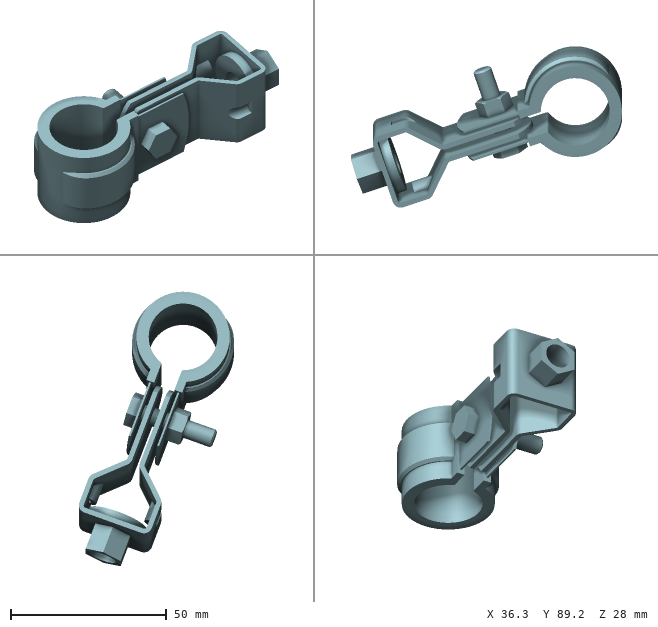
import cadquery as cq
import math


lining_height = 28.0
ring_radius = 15.0
bore_radius = 11.05
tab_inner_x = 3.5
tab_outer_x = 6.15
tab_top_y = 17.5
mouth_fillet = 0.6

pad_height = 15.0
pad_radius = 16.4
pad_chamfer = 1.0
pad_bend_angle = -30.6
pad_end_angle = -64.7

sheet_width = 25.0

strap_thickness = 0.6
strap_ear_x = 4.55
strap_end_radius = 38.4
strap_loop_radius = (ring_radius + bore_radius - strap_thickness) / 2

bracket_thickness = 1.6
bracket_half_width = 12.4
leg_outer_x = 2.9
bracket_top_y = 65.3
upper_bend_y = 53.1
lower_bend_y = 43.95
leg_tip_y = 15.25
leg_corner_y = 19.9
bend_radius = 2.7
inner_bend_radius = bend_radius - bracket_thickness
head_inner_radius = 0.8

groove_radius = 2.5
groove_bulge_radius = 4.2
groove_top_y = 58.3

hanger_flats = 11.95
hanger_top_y = 74.2
hanger_neck_diameter = 15.0
flange_diameter = 20.0
flange_thickness = 3.0
hanger_bore_diameter = 8.5

bolt_y = 25.0
bolt_diameter = 6.0
bolt_tip_diameter = 4.9
bolt_tip_x = -19.9
bolt_hex_flats = 10.0
bolt_head_height = 4.0
nut_height = 4.9
nut_chamfer_diameter = 10.5
nut_chamfer_angle = 30.0


def block(x_min, x_max, y_min, y_max, height):
    """Box given by its X and Y limits, centred on Z = 0."""
    center = ((x_min + x_max) / 2, (y_min + y_max) / 2)
    outline = cq.Workplane("XY").center(*center).rect(x_max - x_min, y_max - y_min)
    return outline.extrude(height / 2, both=True)


def polar(radius, angle):
    """Point at a radius and an angle in degrees from +X."""
    return (radius * math.cos(math.radians(angle)), radius * math.sin(math.radians(angle)))


def mirrored_pair(shape):
    """A +X feature joined with its mirror image on -X."""
    return shape.union(shape.mirror("YZ"))


def cylinder_along_x(diameter, x_min, x_max):
    """Round bar on the bolt axis."""
    plane = cq.Workplane("YZ", origin=(x_min, bolt_y, 0))
    return plane.circle(diameter / 2).extrude(x_max - x_min)


def hexagon_circle(flats):
    """Diameter through the corners of a hexagon."""
    return flats / math.cos(math.pi / 6)


def hexagon_along_x(x_min, x_max):
    """Hexagon bar on the bolt axis, with corners towards +Y and -Y."""
    plane = cq.Workplane("YZ", origin=(x_min, bolt_y, 0))
    return plane.polygon(6, hexagon_circle(bolt_hex_flats)).extrude(x_max - x_min)


def make_pad():
    """Raised pad on the +X side, with chamfered upper and lower rims."""
    start = (tab_outer_x, math.sqrt(pad_radius**2 - tab_outer_x**2))
    bend = polar(pad_radius, pad_bend_angle)
    end = polar(ring_radius, pad_end_angle)
    end_along_bend = ring_radius * math.cos(math.radians(pad_end_angle - pad_bend_angle))
    center_distance = (pad_radius**2 - ring_radius**2) / (2 * (pad_radius - end_along_bend))
    center = polar(center_distance, pad_bend_angle)
    return_radius = pad_radius - center_distance
    end_direction = math.degrees(math.atan2(end[1] - center[1], end[0] - center[0]))
    middle = polar(return_radius, (pad_bend_angle + end_direction) / 2)
    pad = (
        cq.Workplane("XY")
        .moveTo(*start)
        .threePointArc((pad_radius, 0), bend)
        .threePointArc((center[0] + middle[0], center[1] + middle[1]), end)
        .lineTo(0, 0)
        .close()
        .extrude(pad_height / 2, both=True)
    )
    rims = pad.faces("|Z").edges("%CIRCLE")
    return rims.chamfer(pad_chamfer)


def make_strap():
    """Loop around the ring with two flat ears, each ending in an arc and pierced by the bolt."""
    ear_outer_x = strap_ear_x + strap_thickness
    loop_outer_radius = strap_loop_radius + strap_thickness
    loop_outline = cq.Workplane("XY").circle(loop_outer_radius).circle(strap_loop_radius)
    loop = loop_outline.extrude(sheet_width / 2, both=True)
    loop = loop.cut(block(-strap_ear_x, strap_ear_x, 0, loop_outer_radius, sheet_width))

    ear_root_y = math.sqrt(strap_loop_radius**2 - strap_ear_x**2)
    half_width = sheet_width / 2
    ear_corner_y = math.sqrt(strap_end_radius**2 - half_width**2)
    ear = (
        cq.Workplane("YZ", origin=(strap_ear_x, 0, 0))
        .moveTo(ear_root_y, -half_width)
        .lineTo(ear_corner_y, -half_width)
        .threePointArc((strap_end_radius, 0), (ear_corner_y, half_width))
        .lineTo(ear_root_y, half_width)
        .close()
        .extrude(strap_thickness)
    )
    strap = loop.union(mirrored_pair(ear))
    return strap.cut(cylinder_along_x(bolt_diameter, -ear_outer_x, ear_outer_x))


def make_lining(strap):
    """Open ring with tabs and side pads, moulded around the strap."""
    ring = cq.Workplane("XY").circle(ring_radius).extrude(lining_height / 2, both=True)
    tab = block(tab_inner_x, tab_outer_x, bore_radius, tab_top_y, lining_height)
    lining = ring.union(mirrored_pair(tab)).union(mirrored_pair(make_pad()))
    bore = cq.Workplane("XY").circle(bore_radius).extrude(lining_height / 2, both=True)
    gap = block(-tab_inner_x, tab_inner_x, 0, tab_top_y, lining_height)
    lining = lining.cut(bore).cut(gap)
    mouth_y = math.sqrt(bore_radius**2 - tab_inner_x**2)
    for x in (-tab_inner_x, tab_inner_x):
        mouth_edge = lining.edges(cq.selectors.NearestToPointSelector((x, mouth_y, 0)))
        lining = mouth_edge.fillet(mouth_fillet)
    return lining.cut(strap)


def make_bracket_shell():
    """Bent sheet: two legs that widen through slanted walls into a square head."""
    miter = bracket_thickness * math.tan(
        math.atan2(bracket_half_width - leg_outer_x, upper_bend_y - lower_bend_y) / 2
    )
    inner_half_width = bracket_half_width - bracket_thickness
    leg_inner_x = leg_outer_x - bracket_thickness
    outer_corners = [
        (leg_outer_x, lower_bend_y),
        (bracket_half_width, upper_bend_y),
        (bracket_half_width, bracket_top_y),
    ]
    inner_corners = [
        (inner_half_width, bracket_top_y - bracket_thickness),
        (inner_half_width, upper_bend_y + miter),
        (leg_inner_x, lower_bend_y + miter),
    ]
    half_outline = (
        [(leg_outer_x, leg_tip_y)] + outer_corners
        + [(0, bracket_top_y), (0, bracket_top_y - bracket_thickness)]
        + inner_corners + [(leg_inner_x, leg_tip_y)]
    )
    half = cq.Workplane("XY").polyline(half_outline).close().extrude(sheet_width / 2, both=True)
    radii = [inner_bend_radius, bend_radius, bend_radius, head_inner_radius, inner_bend_radius, bend_radius]
    for (x, y), radius in zip(outer_corners + inner_corners, radii):
        half = half.edges(cq.selectors.NearestToPointSelector((x, y, 0))).fillet(radius)
    return mirrored_pair(half)


def make_leg_tip_trim():
    """Everything below the arc that rounds the ends of the legs."""
    half_width = sheet_width / 2
    return (
        cq.Workplane("YZ")
        .moveTo(leg_corner_y, -half_width)
        .threePointArc((leg_tip_y, 0), (leg_corner_y, half_width))
        .lineTo(0, half_width)
        .lineTo(0, -half_width)
        .close()
        .extrude(leg_outer_x, both=True)
    )


def groove_bar(radius):
    """Round bar along Y centred on the outer face of the +X wall, running down from the top of the groove."""
    plane = cq.Workplane("XZ", origin=(bracket_half_width, groove_top_y, 0))
    return plane.circle(radius).extrude(groove_top_y - lower_bend_y)


def make_bulge():
    """Material pressed inwards around the groove, from the middle of the sheet towards the inside."""
    wall_x = bracket_half_width - bracket_thickness / 2
    slant_end_x = leg_outer_x - bracket_thickness / 2
    inside = (
        cq.Workplane("XY")
        .polyline([
            (slant_end_x, lower_bend_y),
            (wall_x, upper_bend_y),
            (wall_x, bracket_top_y),
            (slant_end_x, bracket_top_y),
        ])
        .close()
        .extrude(sheet_width / 2, both=True)
    )
    return groove_bar(groove_bulge_radius).intersect(inside)


def make_bracket():
    """Bent sheet with rounded leg tips, pressed grooves, and holes for the bolt and hanger nut."""
    bracket = make_bracket_shell().cut(make_leg_tip_trim())
    bracket = bracket.union(mirrored_pair(make_bulge()))
    groove = groove_bar(groove_radius)
    bracket = bracket.cut(groove).cut(groove.mirror("YZ"))
    bracket = bracket.cut(cylinder_along_x(bolt_diameter, -leg_outer_x, leg_outer_x))
    neck_hole = cq.Workplane("XZ", origin=(0, bracket_top_y, 0)).circle(hanger_neck_diameter / 2)
    return bracket.cut(neck_hole.extrude(bracket_thickness))


def make_hanger_nut():
    """Hexagon outside the bracket, a neck through its wall and a round flange inside, bored through."""
    flange_top_y = bracket_top_y - bracket_thickness
    flange_bottom_y = flange_top_y - flange_thickness
    hexagon = (
        cq.Workplane("XZ", origin=(0, hanger_top_y, 0))
        .transformed(rotate=(0, 0, 90))
        .polygon(6, hexagon_circle(hanger_flats))
        .extrude(hanger_top_y - bracket_top_y)
    )
    neck = cq.Workplane("XZ", origin=(0, bracket_top_y, 0)).circle(hanger_neck_diameter / 2)
    flange = cq.Workplane("XZ", origin=(0, flange_top_y, 0)).circle(flange_diameter / 2)
    bore = cq.Workplane("XZ", origin=(0, hanger_top_y, 0)).circle(hanger_bore_diameter / 2)
    body = hexagon.union(neck.extrude(bracket_thickness)).union(flange.extrude(flange_thickness))
    return body.cut(bore.extrude(hanger_top_y - flange_bottom_y))


def make_bolt():
    """Hexagon head against the +X ear and a shank with a chamfered tip."""
    head_x = strap_ear_x + strap_thickness
    shank = cylinder_along_x(bolt_diameter, bolt_tip_x, head_x)
    shank = shank.faces("<X").chamfer((bolt_diameter - bolt_tip_diameter) / 2)
    return shank.union(hexagon_along_x(head_x, head_x + bolt_head_height))


def make_nut():
    """Hexagon nut against the -X ear, with its outer corners turned down."""
    inner_x = -strap_ear_x - strap_thickness
    outer_x = inner_x - nut_height
    face_radius = nut_chamfer_diameter / 2
    cone_radius = face_radius + nut_height / math.tan(math.radians(nut_chamfer_angle))
    cone = (
        cq.Workplane("XY")
        .moveTo(outer_x, bolt_y)
        .lineTo(outer_x, bolt_y + face_radius)
        .lineTo(inner_x, bolt_y + cone_radius)
        .lineTo(inner_x, bolt_y)
        .close()
        .revolve(360, (outer_x, bolt_y, 0), (inner_x, bolt_y, 0))
    )
    nut = hexagon_along_x(outer_x, inner_x).intersect(cone)
    return nut.cut(cylinder_along_x(bolt_diameter, outer_x, inner_x))


strap = make_strap()
lining = make_lining(strap)
bracket = make_bracket()
hanger_nut = make_hanger_nut()
bolt = make_bolt()
nut = make_nut()

bodies = [strap, lining, bracket, hanger_nut, bolt, nut]
result = cq.Compound.makeCompound([body.solids().val() for body in bodies])